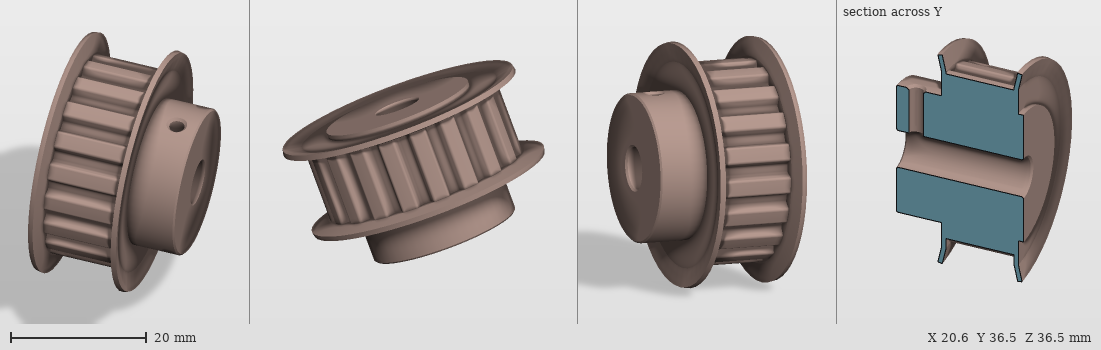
import cadquery as cq
import math

INCH = 25.4
tooth_count = 19
belt_pitch = 0.2 * INCH
pitch_line_offset = 0.254
tip_radius = tooth_count * belt_pitch / (2 * math.pi) - pitch_line_offset
pitch_angle = 360 / tooth_count

groove_floor_width = 1.32
groove_depth = 1.40
groove_half_angle = 25
groove_root_fillet = 0.41
groove_tip_fillet = 0.41
floor_radius = tip_radius - groove_depth
radius_tolerance = 0.01

flange_diameter = 36.53
flange_thickness = 0.8
flange_lean = 12
flange_bend_radius = 15.3

total_length = 20.65
near_flange_outer = 0.85
belt_start = near_flange_outer + flange_thickness
belt_width = 10.9
belt_end = belt_start + belt_width

hub_diameter = 7 / 8 * INCH
hub_chamfer = 0.25
bore_diameter = INCH / 4
bore_chamfer = 0.3
screw_diameter = 2.26
screw_chamfer = 0.4
screw_x = 17.4


def along_x(diameter, start, length):
    """Cylinder on the X axis."""
    return cq.Workplane("YZ", origin=(start, 0, 0)).circle(diameter / 2).extrude(length)


def groove_cutter(angle):
    """Trapezoidal bar that cuts one groove, turned from +Z about X."""
    over_cut = 1.0
    floor_half = groove_floor_width / 2
    mouth_radius = tip_radius + over_cut
    mouth_half = floor_half + (mouth_radius - floor_radius) * math.tan(math.radians(groove_half_angle))
    profile = [
        (-floor_half, floor_radius),
        (floor_half, floor_radius),
        (mouth_half, mouth_radius),
        (-mouth_half, mouth_radius),
    ]
    bar = cq.Workplane("YZ", origin=(belt_start, 0, 0)).polyline(profile).close().extrude(belt_width)
    return bar.rotate((0, 0, 0), (1, 0, 0), angle)


def toothed_body():
    """Belt section with a tooth centred on +Z and rounded groove corners."""
    body = along_x(2 * tip_radius, belt_start, belt_width)
    for i in range(tooth_count):
        body = body.cut(groove_cutter((i + 0.5) * pitch_angle))

    def axis_distance(edge):
        return math.hypot(edge.Center().y, edge.Center().z)

    mid_radius = tip_radius - groove_depth / 2
    root_edges = body.edges("|X").filter(lambda edge: axis_distance(edge) < mid_radius)
    body = root_edges.fillet(groove_root_fillet)
    tip_edges = body.edges("|X").filter(lambda edge: axis_distance(edge) > tip_radius - radius_tolerance)
    return tip_edges.fillet(groove_tip_fillet)


def near_flange():
    """Dished ring at the plain end, revolved from its (x, radius) section."""
    lean = math.radians(flange_lean)
    rim_radius = flange_diameter / 2
    inner_bend_radius = flange_bend_radius + flange_thickness * math.tan(lean / 2)
    inner_rim_x = belt_start - (rim_radius - inner_bend_radius) * math.tan(lean)
    outer_rim_x = inner_rim_x - flange_thickness * math.cos(lean)
    outer_rim_radius = rim_radius - flange_thickness * math.sin(lean)
    section = [
        (near_flange_outer, 0),
        (belt_start, 0),
        (belt_start, inner_bend_radius),
        (inner_rim_x, rim_radius),
        (outer_rim_x, outer_rim_radius),
        (near_flange_outer, flange_bend_radius),
    ]
    return cq.Workplane("XY").polyline(section).close().revolve(360, (0, 0, 0), (1, 0, 0))


def add_flanges(body):
    """Matching flanges on both sides of the belt section."""
    flange = near_flange()
    belt_middle = (belt_start + belt_end) / 2
    return body.union(flange).union(flange.mirror("YZ", (belt_middle, 0, 0)))


def hub():
    """Hub through the whole length, with a set screw hole on +Z."""
    body = along_x(hub_diameter, 0, total_length).faces(">X").chamfer(hub_chamfer)
    screw_hole = cq.Workplane("XY", origin=(screw_x, 0, 0)).circle(screw_diameter / 2).extrude(hub_diameter)
    body = body.cut(screw_hole)
    screw_mouth = cq.selectors.NearestToPointSelector((screw_x, 0, hub_diameter / 2))
    return body.edges(screw_mouth).chamfer(screw_chamfer)


def cut_bore(body):
    """Through bore, chamfered at both ends."""
    body = body.cut(along_x(bore_diameter, 0, total_length))
    for end_face in ("<X", ">X"):
        body = body.faces(end_face).edges(cq.selectors.RadiusNthSelector(0)).chamfer(bore_chamfer)
    return body


result = cut_bore(add_flanges(toothed_body()).union(hub()))